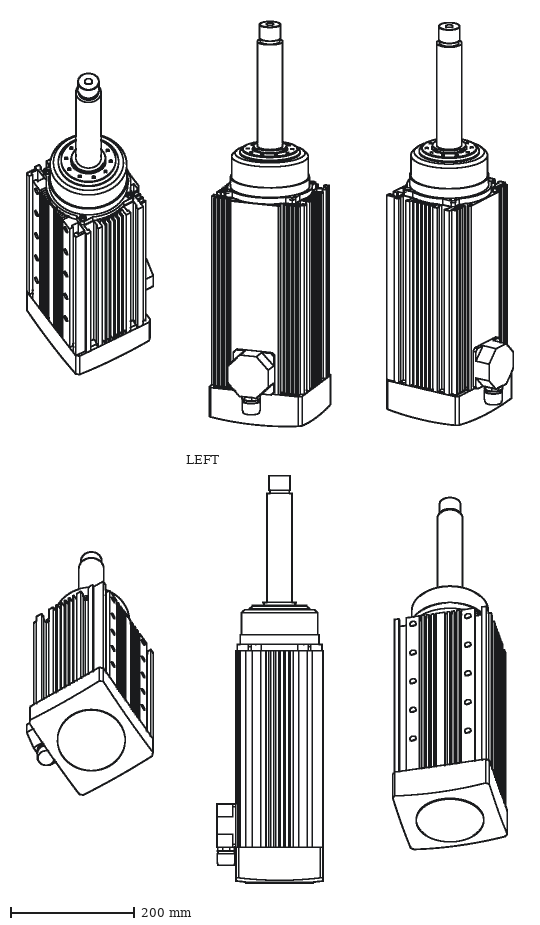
import cadquery as cq
import math

TOTAL_LENGTH = 663
BODY_WIDTH = 161.0
BODY_DEPTH = 142.0
BODY_TOP = 378.5

COVER_HEIGHT = 59.0
COVER_WALL = 6.5
COVER_CORNER = 4.5
DOME_RADIUS = 563.5
DOME_BOTTOM = -0.5
FOOT_RADIUS = 55.0

CORE_RADIUS = 67.5
FIN_SLOT_WIDTH = 4.0
FRONT_SLOT_START = 7.0
FRONT_SLOT_PITCH = 2 * FIN_SLOT_WIDTH
FRONT_SLOTS_PER_SIDE = 4
SIDE_FIN_PITCH = 8.0
SIDE_SLOT_WIDTH = 5.0
SIDE_SLOTS = 6
SLOT_DEPTH = 16.5
LIP = 6.5
SIDE_T_CENTER = 38.0
SIDE_T_OPENING = 14.0
SIDE_T_CAVITY = 18.5
SIDE_T_DEPTH = 17.0
FRONT_T_CENTER = 63.0
FRONT_T_OPENING = 12.0
FRONT_T_CAVITY = 20.0
FRONT_T_DEPTH = 19.0
CORNER_STEP_IN = 4.0
CORNER_STEP_Y = -53.0
BACK_SHELF_Y = 55.0
BACK_FIN_TIP_Y = 64.0
BACK_FIN_WIDTH = 2.5
BACK_FIN_ROOT = 6.5
BACK_FIN_FIRST_X = 48.5
BACK_FIN_PITCH = 8.0
BACK_FINS_PER_SIDE = 4
BACK_RAIL_HALF = 33.0
BACK_LIP_HALF = 44.0
BACK_LIP_CHAMFER = 2.5
BACK_LIP_UNDERSIDE_Y = 66.0
MOUNT_HOLE_X = 46.0
MOUNT_HOLE_DIAMETER = 10.0
MOUNT_HOLE_DEPTH = 10.0
MOUNT_HOLES = 5
MOUNT_HOLE_LOW_Z = 124.0
MOUNT_HOLE_HIGH_Z = 364.0

FLANGE_RADIUS = 69.0
FLANGE_TOP = 388.5
LUG_HALF_X = 62.0
LUG_HALF_Y = 51.0
LUG_CHAMFER = 4.5
LUG_HOLE_X = 55.0
LUG_HOLE_Y = 44.5
LUG_HOLE_DIAMETER = 5.0
LUG_COUNTERBORE_DIAMETER = 10.5
LUG_COUNTERBORE_DEPTH = 4.0
NOSE_BASE_RADIUS = 64.0
NOSE_BASE_TOP = 404.5
NOSE_RADIUS = 62.0
NOSE_TOP = 445.0
NOSE_CHAMFER = 5.0

CAP_RADIUS = 49.0
CAP_TOP_RADIUS = 44.5
CAP_RIM = 2.0
CAP_TOP = 452.0
CAP_RECESS_RADIUS = 28.5
CAP_RECESS_DEPTH = 3.0
CAP_HOLES = 10
CAP_HOLE_CIRCLE_RADIUS = 36.5
CAP_HOLE_DIAMETER = 4.5
CAP_HOLE_DEPTH = 4.0

SHAFT_RADIUS = 20.5
COLLAR_BASE_RADIUS = 24.5
COLLAR_RADIUS = 27.0
COLLAR_TOP = 457.0
SHOULDER_Z = 634.0
GROOVE_RADIUS = 16.0
GROOVE_WIDTH = 5.0
TIP_RADIUS = 17.0
TIP_CHAMFER = 0.5
CENTER_HOLE_RADIUS = 6.0
CENTER_HOLE_DEPTH = 13
CENTER_HOLE_POINT = 4.0

BOX_SIZE = 70.0
BOX_BASE_HEIGHT = 5.0
BOX_BASE_CHAMFER = 4.5
BOX_HEIGHT = 31.0
BOX_CORNER = 20.5
GLAND_OFFSET = 16.0
GLAND_RADIUS = 14.5
GLAND_NUT_FLATS = 28.0
GLAND_NUT_SIDES = 8
GLAND_NUT_HEIGHT = 6.0
GLAND_RING = 0.5
GLAND_NECK_RADIUS = 13.0
GLAND_NECK_HEIGHT = 4.0
GLAND_BODY_HEIGHT = 14.5
GLAND_TAPER_HEIGHT = 4.5
GLAND_END_RADIUS = 13.0

HALF_WIDTH = BODY_WIDTH / 2
HALF_DEPTH = BODY_DEPTH / 2


def block(x_min, x_max, y_min, y_max, z_min, z_max):
    """Box given by its limits along each axis."""
    size = (x_max - x_min, y_max - y_min, z_max - z_min)
    return cq.Workplane(cq.Solid.makeBox(*size, cq.Vector(x_min, y_min, z_min)))


def cylinder(radius, z_min, z_max):
    """Cylinder on the spindle axis."""
    return cq.Workplane("XY", origin=(0, 0, z_min)).circle(radius).extrude(z_max - z_min)


def bar(x_min, x_max, y_min, y_max):
    """Box as long as the finned housing."""
    return block(x_min, x_max, y_min, y_max, COVER_HEIGHT, BODY_TOP)


def make_rear_cover():
    """Hollow cup with a shallow domed bottom and a round foot."""
    dome_center = DOME_BOTTOM + DOME_RADIUS
    outside = block(-HALF_WIDTH, HALF_WIDTH, -HALF_DEPTH, HALF_DEPTH, 0, COVER_HEIGHT)
    outside = outside.edges("|Z").chamfer(COVER_CORNER)
    outside = outside.intersect(cq.Workplane("XY", origin=(0, 0, dome_center)).sphere(DOME_RADIUS))
    foot = cylinder(FOOT_RADIUS, 0, COVER_WALL)
    inner_x = HALF_WIDTH - COVER_WALL
    inner_y = HALF_DEPTH - COVER_WALL
    cavity = block(-inner_x, inner_x, -inner_y, inner_y, 0, COVER_HEIGHT)
    inner_dome = cq.Workplane("XY", origin=(0, 0, dome_center)).sphere(DOME_RADIUS - COVER_WALL)
    return outside.union(foot).cut(cavity.intersect(inner_dome))


def front_cooling_slots(side):
    """Slots between the fins on one half of the -Y face."""
    slots = cq.Workplane()
    for i in range(FRONT_SLOTS_PER_SIDE):
        near = side * (FRONT_SLOT_START + i * FRONT_SLOT_PITCH)
        far = near + side * FIN_SLOT_WIDTH
        slots = slots.add(bar(min(near, far), max(near, far), -HALF_DEPTH, SLOT_DEPTH - HALF_DEPTH))
    return slots.combine()


def side_cooling_slots(side):
    """Slots between the fins on the +X or -X face."""
    slots = cq.Workplane()
    outer = side * HALF_WIDTH
    inner = side * (HALF_WIDTH - SLOT_DEPTH)
    for i in range(SIDE_SLOTS):
        middle = (i - (SIDE_SLOTS - 1) / 2) * SIDE_FIN_PITCH
        half = SIDE_SLOT_WIDTH / 2
        slots = slots.add(bar(min(outer, inner), max(outer, inner), middle - half, middle + half))
    return slots.combine()


def t_slot(opening, cavity, depth):
    """T-slot cutter that enters a face at Y = 0 and runs toward +Y."""
    mouth = bar(-opening / 2, opening / 2, 0, depth)
    chamber = bar(-cavity / 2, cavity / 2, LIP, depth)
    return mouth.union(chamber)


def back_fins(side):
    """Fins standing on one back shelf, rooted in the housing below it."""
    fins = cq.Workplane()
    half = BACK_FIN_WIDTH / 2
    for i in range(BACK_FINS_PER_SIDE):
        middle = side * (BACK_FIN_FIRST_X + i * BACK_FIN_PITCH)
        fins = fins.add(bar(middle - half, middle + half, BACK_SHELF_Y - BACK_FIN_ROOT, BACK_FIN_TIP_Y))
    return fins.combine()


def mount_holes():
    """Two rows of blind mounting holes in the -Y face."""
    pitch = (MOUNT_HOLE_HIGH_Z - MOUNT_HOLE_LOW_Z) / (MOUNT_HOLES - 1)
    heights = [MOUNT_HOLE_LOW_Z + i * pitch for i in range(MOUNT_HOLES)]
    spots = [(x, z) for x in (-MOUNT_HOLE_X, MOUNT_HOLE_X) for z in heights]
    holes = cq.Workplane("XZ", origin=(0, -HALF_DEPTH, 0)).pushPoints(spots)
    return holes.circle(MOUNT_HOLE_DIAMETER / 2).extrude(-MOUNT_HOLE_DEPTH)


def make_housing():
    """Extruded finned housing around a round core."""
    housing = bar(-HALF_WIDTH, HALF_WIDTH, -HALF_DEPTH, HALF_DEPTH)
    side_t = t_slot(SIDE_T_OPENING, SIDE_T_CAVITY, SIDE_T_DEPTH)
    front_t = t_slot(FRONT_T_OPENING, FRONT_T_CAVITY, FRONT_T_DEPTH)
    corner_x = HALF_WIDTH - CORNER_STEP_IN

    for side in (-1, 1):
        housing = housing.cut(front_cooling_slots(side)).cut(side_cooling_slots(side))
        housing = housing.cut(front_t.translate((side * FRONT_T_CENTER, -HALF_DEPTH, 0)))
        turned = side_t.rotate((0, 0, 0), (0, 0, 1), side * 90)
        for y in (-SIDE_T_CENTER, SIDE_T_CENTER):
            housing = housing.cut(turned.translate((side * HALF_WIDTH, y, 0)))
        edge = side * HALF_WIDTH
        step = side * corner_x
        housing = housing.cut(bar(min(edge, step), max(edge, step), -HALF_DEPTH, CORNER_STEP_Y))

        rail = side * BACK_RAIL_HALF
        lip = side * BACK_LIP_HALF
        housing = housing.cut(bar(min(edge, lip), max(edge, lip), BACK_SHELF_Y, HALF_DEPTH))
        housing = housing.cut(bar(min(rail, lip), max(rail, lip), BACK_SHELF_Y, BACK_LIP_UNDERSIDE_Y))

    lip_corners = cq.selectors.BoxSelector(
        (-HALF_WIDTH, HALF_DEPTH - BACK_LIP_CHAMFER, COVER_HEIGHT),
        (HALF_WIDTH, HALF_DEPTH + BACK_LIP_CHAMFER, BODY_TOP),
    )
    housing = housing.edges("|Z").edges(lip_corners).chamfer(BACK_LIP_CHAMFER)

    housing = housing.union(cylinder(CORE_RADIUS, COVER_HEIGHT, BODY_TOP))

    for side in (-1, 1):
        housing = housing.union(back_fins(side))
    return housing.cut(mount_holes())


def make_nose():
    """Stepped round nose on a flange with four bolted corner lugs."""
    flange = cylinder(FLANGE_RADIUS, BODY_TOP, FLANGE_TOP)
    lugs = block(-LUG_HALF_X, LUG_HALF_X, -LUG_HALF_Y, LUG_HALF_Y, BODY_TOP, FLANGE_TOP)
    lugs = lugs.edges("|Z").chamfer(LUG_CHAMFER)
    spots = [(x, y) for x in (-LUG_HOLE_X, LUG_HOLE_X) for y in (-LUG_HOLE_Y, LUG_HOLE_Y)]
    nose = cylinder(NOSE_RADIUS, BODY_TOP, NOSE_TOP).faces(">Z").chamfer(NOSE_CHAMFER)
    base = cylinder(NOSE_BASE_RADIUS, BODY_TOP, NOSE_BASE_TOP)
    flange = flange.union(lugs).faces(">Z").workplane(origin=(0, 0, FLANGE_TOP)).pushPoints(spots)
    flange = flange.cboreHole(LUG_HOLE_DIAMETER, LUG_COUNTERBORE_DIAMETER, LUG_COUNTERBORE_DEPTH)
    return flange.union(base).union(nose)


def make_cap():
    """Conical bearing cap with a ring of screw holes and a bore that fits the shaft collar."""
    profile = [
        (COLLAR_BASE_RADIUS, NOSE_TOP),
        (CAP_RADIUS, NOSE_TOP),
        (CAP_RADIUS, NOSE_TOP + CAP_RIM),
        (CAP_TOP_RADIUS, CAP_TOP - CAP_RIM),
        (CAP_TOP_RADIUS, CAP_TOP),
        (CAP_RECESS_RADIUS, CAP_TOP),
        (CAP_RECESS_RADIUS, CAP_TOP - CAP_RECESS_DEPTH),
        (COLLAR_BASE_RADIUS, CAP_TOP - CAP_RECESS_DEPTH),
    ]
    cap = cq.Workplane("XZ").polyline(profile).close().revolve(360, (0, 0), (0, 1))
    holes = cq.Workplane("XY", origin=(0, 0, CAP_TOP))
    holes = holes.polarArray(CAP_HOLE_CIRCLE_RADIUS, 90, 360, CAP_HOLES)
    return cap.cut(holes.circle(CAP_HOLE_DIAMETER / 2).extrude(-CAP_HOLE_DEPTH))


def make_shaft():
    """Turned shaft with a flared collar, a reduced tip and a drilled centre hole."""
    profile = [
        (0, NOSE_TOP),
        (COLLAR_BASE_RADIUS, NOSE_TOP),
        (COLLAR_BASE_RADIUS, CAP_TOP),
        (COLLAR_RADIUS, COLLAR_TOP),
        (SHAFT_RADIUS, COLLAR_TOP),
        (SHAFT_RADIUS, SHOULDER_Z),
        (GROOVE_RADIUS, SHOULDER_Z),
        (GROOVE_RADIUS, SHOULDER_Z + GROOVE_WIDTH),
        (TIP_RADIUS, SHOULDER_Z + GROOVE_WIDTH),
        (TIP_RADIUS, TOTAL_LENGTH - TIP_CHAMFER),
        (TIP_RADIUS - TIP_CHAMFER, TOTAL_LENGTH),
        (CENTER_HOLE_RADIUS, TOTAL_LENGTH),
        (CENTER_HOLE_RADIUS, TOTAL_LENGTH - CENTER_HOLE_DEPTH),
        (0, TOTAL_LENGTH - CENTER_HOLE_DEPTH - CENTER_HOLE_POINT),
    ]
    return cq.Workplane("XZ").polyline(profile).close().revolve(360, (0, 0), (0, 1))


def make_terminal_box():
    """Octagonal box on a square base, standing on the back rail."""
    middle = (0, HALF_DEPTH, COVER_HEIGHT + BOX_SIZE / 2)
    base = cq.Workplane("XZ", origin=middle).rect(BOX_SIZE, BOX_SIZE).extrude(-BOX_BASE_HEIGHT)
    base = base.edges("|Y").chamfer(BOX_BASE_CHAMFER)
    lid = cq.Workplane("XZ", origin=middle).rect(BOX_SIZE, BOX_SIZE).extrude(-BOX_HEIGHT)
    lid = lid.edges("|Y").chamfer(BOX_CORNER)
    return base.union(lid)


def make_gland():
    """Cable gland hanging from the underside of the terminal box."""
    nut_across_corners = GLAND_NUT_FLATS / math.cos(math.pi / GLAND_NUT_SIDES)
    gland = cq.Workplane("XY", origin=(0, HALF_DEPTH + GLAND_OFFSET, COVER_HEIGHT))
    gland = gland.transformed(rotate=(0, 0, 180 / GLAND_NUT_SIDES))
    gland = gland.polygon(GLAND_NUT_SIDES, nut_across_corners).extrude(-GLAND_NUT_HEIGHT)
    gland = gland.faces("<Z").workplane().circle(GLAND_RADIUS).extrude(GLAND_RING)
    gland = gland.faces("<Z").workplane().circle(GLAND_NECK_RADIUS).extrude(GLAND_NECK_HEIGHT)
    gland = gland.faces("<Z").workplane().circle(GLAND_RADIUS).extrude(GLAND_BODY_HEIGHT)
    gland = gland.faces("<Z").workplane().circle(GLAND_RADIUS).workplane(offset=GLAND_TAPER_HEIGHT)
    return gland.circle(GLAND_END_RADIUS).loft(combine=True)


rear_cover = make_rear_cover()
housing = make_housing()
nose = make_nose()
cap = make_cap()
shaft = make_shaft()
terminal_box = make_terminal_box()
gland = make_gland()

result = cq.Compound.makeCompound([
    rear_cover.val(),
    housing.val(),
    nose.val(),
    cap.val(),
    shaft.val(),
    terminal_box.val(),
    gland.val(),
])